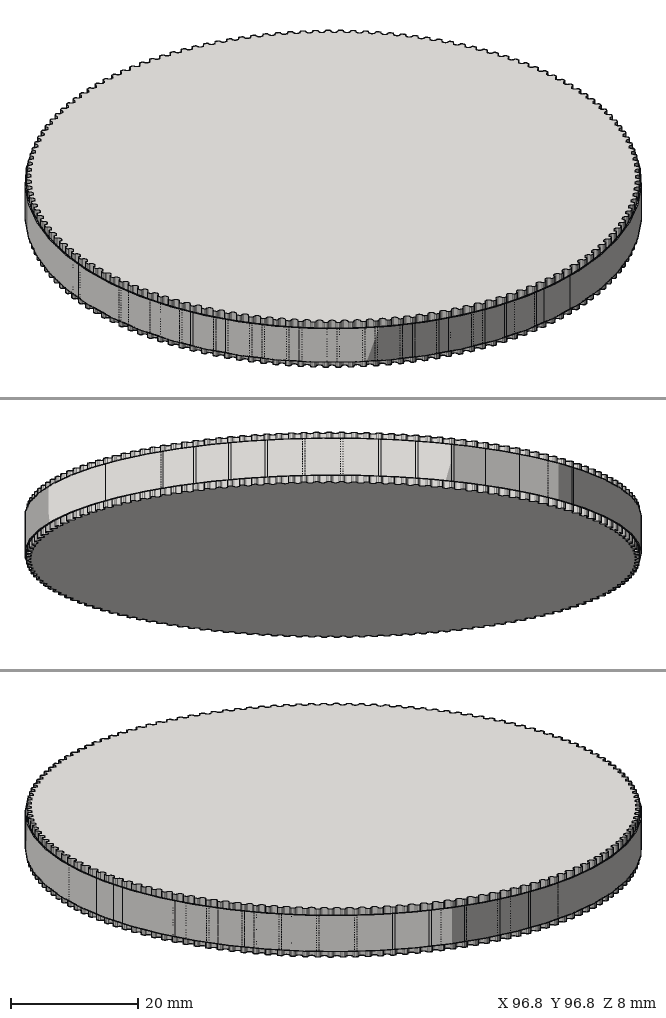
import cadquery as cq
import math

outer_diameter = 96.8
thickness = 8.0

band_wall = 0.27
band_width = 6.0

tooth_count = 152
mouth_half_width = 0.79
throat_half_width = 0.56
throat_depth = 0.2
lip_radius = 0.24
groove_depth = 0.73

outer_radius = outer_diameter / 2
tip_radius = outer_radius - band_wall
mouth_radius = math.sqrt(tip_radius**2 - mouth_half_width**2)
tooth_pitch_angle = 2 * math.pi / tooth_count


def on_rim(across, depth, angle):
    """Point at a sideways offset from the ray at the given angle and a depth below the groove mouth."""
    radial = mouth_radius - depth
    return (
        radial * math.cos(angle) - across * math.sin(angle),
        radial * math.sin(angle) + across * math.cos(angle),
    )


def toothed_disc():
    """Solid disc with round-bottomed grooves all around the rim, a tooth standing on each axis."""
    first_groove_angle = tooth_pitch_angle / 2
    profile = cq.Workplane("XY").moveTo(*on_rim(-mouth_half_width, 0, first_groove_angle))
    for index in range(tooth_count):
        groove_angle = first_groove_angle + index * tooth_pitch_angle
        next_groove_angle = groove_angle + tooth_pitch_angle
        tooth_angle = groove_angle + tooth_pitch_angle / 2
        tooth_tip = (tip_radius * math.cos(tooth_angle), tip_radius * math.sin(tooth_angle))
        profile = (
            profile
            .radiusArc(on_rim(-throat_half_width, throat_depth, groove_angle), -lip_radius)
            .threePointArc(
                on_rim(0, groove_depth, groove_angle),
                on_rim(throat_half_width, throat_depth, groove_angle),
            )
            .radiusArc(on_rim(mouth_half_width, 0, groove_angle), -lip_radius)
            .threePointArc(tooth_tip, on_rim(-mouth_half_width, 0, next_groove_angle))
        )
    return profile.close().extrude(thickness)


def rim_band():
    """Thin ring around the tooth tips, shorter than the disc at both ends."""
    return (
        cq.Workplane("XY", origin=(0, 0, (thickness - band_width) / 2))
        .circle(outer_radius)
        .circle(tip_radius)
        .extrude(band_width)
    )


result = toothed_disc().union(rim_band())